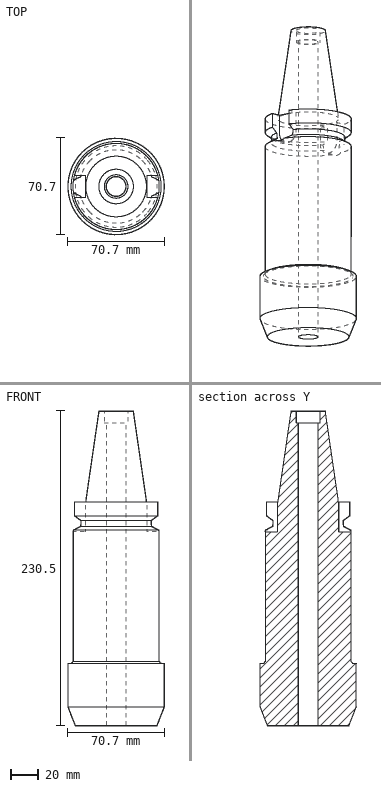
import cadquery as cq

total_height = 230.5
nut_diameter = 70.7
nut_radius = nut_diameter / 2

nut_nose_radius = 30.0
nut_nose_height = 13.8
nut_top = 45.6
collar_radius = 33.0
collar_top = 47.2

body_radius = 31.5
groove_radius = 27.0
groove_lower_edge = 143.3
groove_floor_bottom = 146.0
groove_floor_top = 150.2
groove_upper_edge = 153.7
flange_top = 164.0

taper_large_diameter = 44.5
taper_large_radius = taper_large_diameter / 2
taper_small_radius = 12.7
neck_height = 1.0
taper_bottom = flange_top + neck_height

bore_radius = 7.1
mouth_diameter = 17.3
mouth_radius = mouth_diameter / 2
mouth_depth = 8.5

slot_width = 16.1
slot_bottom = 142.2
slot_floor_distance = 22.5


def make_holder():
    """Solid of revolution holding the nut, body, flange and taper."""
    profile = [
        (0, 0),
        (nut_nose_radius, 0),
        (nut_radius, nut_nose_height),
        (nut_radius, nut_top),
        (collar_radius, nut_top),
        (body_radius, collar_top),
        (body_radius, groove_lower_edge),
        (groove_radius, groove_floor_bottom),
        (groove_radius, groove_floor_top),
        (body_radius, groove_upper_edge),
        (body_radius, flange_top),
        (taper_large_radius, flange_top),
        (taper_large_radius, taper_bottom),
        (taper_small_radius, total_height),
        (0, total_height),
    ]
    return cq.Workplane("XZ").polyline(profile).close().revolve(360, (0, 0), (0, 1))


def make_bore():
    """Through bore and its wider mouth."""
    bore = cq.Workplane("XY").circle(bore_radius).extrude(total_height)
    mouth = (
        cq.Workplane("XY", origin=(0, 0, total_height - mouth_depth))
        .circle(mouth_radius)
        .extrude(mouth_depth)
    )
    return bore.union(mouth)


def make_drive_slot(side):
    """Round-bottomed slot cutter; side is +1 for +X and -1 for -X."""
    half_width = slot_width / 2
    arc_center = slot_bottom + half_width
    return (
        cq.Workplane("YZ", origin=(side * slot_floor_distance, 0, 0))
        .moveTo(-half_width, flange_top)
        .lineTo(-half_width, arc_center)
        .threePointArc((0, slot_bottom), (half_width, arc_center))
        .lineTo(half_width, flange_top)
        .close()
        .extrude(side * (nut_radius - slot_floor_distance))
    )


result = make_holder().cut(make_bore())
for side in (-1, 1):
    result = result.cut(make_drive_slot(side))